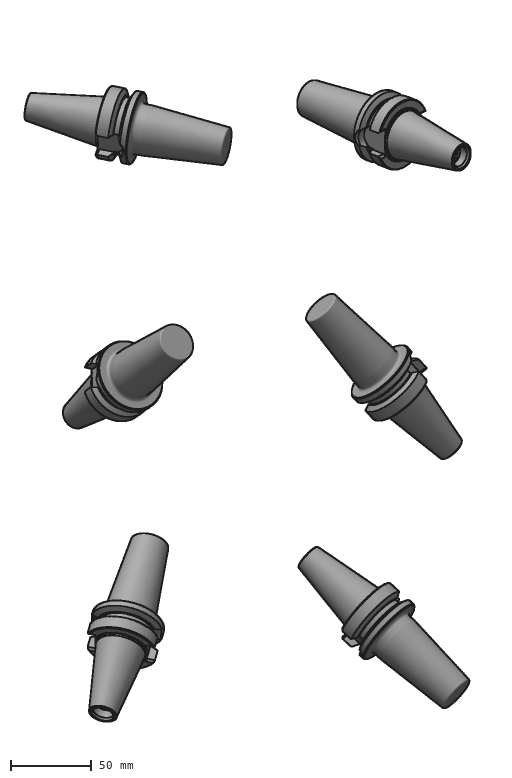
import cadquery as cq
import math


TAPER_LENGTH = 48.4
GAUGE_RADIUS = 31.75 / 2
TAPER_RATE = 7 / 24
TAPER_END_RADIUS = GAUGE_RADIUS - TAPER_LENGTH * TAPER_RATE / 2
TAPER_END_CHAMFER = 0.4

RELIEF_BOTTOM_X = 1.4
RELIEF_INNER_RADIUS = 16.0
RELIEF_FLOOR_RADIUS = 17.0
RELIEF_OUTER_RADIUS = 17.6

FLANGE_RADIUS = 23.0
FLANGE_FRONT_X = 1.0
FLANGE_BACK_X = 22.0
FLANGE_CHAMFER = 0.6
GROOVE_CENTER_X = 13.6
GROOVE_FLOOR_WIDTH = 3.8
GROOVE_FLOOR_RADIUS = 17.9
BEVEL_ROOT_RADIUS = 19.4
BEVEL_ANGLE = 30
BEVEL_RUN = (FLANGE_RADIUS - BEVEL_ROOT_RADIUS) * math.tan(math.radians(BEVEL_ANGLE))
GROOVE_START_X = GROOVE_CENTER_X - GROOVE_FLOOR_WIDTH / 2
GROOVE_END_X = GROOVE_CENTER_X + GROOVE_FLOOR_WIDTH / 2

NOSE_END_X = 80.0
NOSE_RADIUS = 16.0
NOSE_END_RADIUS = 12.0
NOSE_CYLINDER_END_X = 29.0
NOSE_ROOT_FILLET = 2.0
NOSE_END_FILLET = 1.0

SLOT_HALF_WIDTH = 8.05
SLOT_FLOOR_DISTANCE = 16.3
SLOT_END_X = 19.0
SLOT_ARC_X = SLOT_END_X - SLOT_HALF_WIDTH
SLOT_MOUTH_CHAMFER = 1.5
SLOT_CONE_START = math.sqrt(FLANGE_RADIUS**2 - SLOT_HALF_WIDTH**2)
CUT_CLEARANCE = 2.0

COUNTERSINK_RADIUS = 7.15
COUNTERSINK_DEPTH = 1.1
ENTRY_RADIUS = 6.55
LEAD_LENGTH = 0.6
OUTER_PILOT_RADIUS = 6.35
OUTER_PILOT_DEPTH = 4.6
INNER_PILOT_RADIUS = 6.2
INNER_PILOT_DEPTH = 7.0
THREAD_RADIUS = 6.0
CORE_RADIUS = 5.1
CORE_DEPTH = 34.0
DRILL_TIP_HALF_ANGLE = 59
DRILL_TIP_LENGTH = CORE_RADIUS / math.tan(math.radians(DRILL_TIP_HALF_ANGLE))


def revolve_about_x(profile):
    return profile.close().revolve(360, (0, 0, 0), (1, 0, 0))


def holder_body():
    """Taper, grooved flange and nose as one turned solid."""
    fillet_mid = NOSE_ROOT_FILLET * (1 - math.sqrt(0.5))
    profile = (
        cq.Workplane("XY")
        .moveTo(-TAPER_LENGTH, 0)
        .lineTo(-TAPER_LENGTH, TAPER_END_RADIUS - TAPER_END_CHAMFER)
        .lineTo(-TAPER_LENGTH + TAPER_END_CHAMFER, TAPER_END_RADIUS + TAPER_END_CHAMFER * TAPER_RATE / 2)
        .lineTo(0, GAUGE_RADIUS)
        .lineTo(0, RELIEF_INNER_RADIUS)
        .lineTo(RELIEF_BOTTOM_X, RELIEF_INNER_RADIUS)
        .lineTo(RELIEF_BOTTOM_X, RELIEF_FLOOR_RADIUS)
        .lineTo(FLANGE_FRONT_X, RELIEF_OUTER_RADIUS)
        .lineTo(FLANGE_FRONT_X, FLANGE_RADIUS - FLANGE_CHAMFER)
        .lineTo(FLANGE_FRONT_X + FLANGE_CHAMFER, FLANGE_RADIUS)
        .lineTo(GROOVE_START_X - BEVEL_RUN, FLANGE_RADIUS)
        .lineTo(GROOVE_START_X, BEVEL_ROOT_RADIUS)
        .lineTo(GROOVE_START_X, GROOVE_FLOOR_RADIUS)
        .lineTo(GROOVE_END_X, GROOVE_FLOOR_RADIUS)
        .lineTo(GROOVE_END_X, BEVEL_ROOT_RADIUS)
        .lineTo(GROOVE_END_X + BEVEL_RUN, FLANGE_RADIUS)
        .lineTo(FLANGE_BACK_X - FLANGE_CHAMFER, FLANGE_RADIUS)
        .lineTo(FLANGE_BACK_X, FLANGE_RADIUS - FLANGE_CHAMFER)
        .lineTo(FLANGE_BACK_X, NOSE_RADIUS + NOSE_ROOT_FILLET)
        .threePointArc(
            (FLANGE_BACK_X + fillet_mid, NOSE_RADIUS + fillet_mid),
            (FLANGE_BACK_X + NOSE_ROOT_FILLET, NOSE_RADIUS),
        )
        .lineTo(NOSE_CYLINDER_END_X, NOSE_RADIUS)
        .lineTo(NOSE_END_X, NOSE_END_RADIUS)
        .lineTo(NOSE_END_X, 0)
    )
    return revolve_about_x(profile).faces(">X").edges().fillet(NOSE_END_FILLET)


def pull_stud_hole():
    """Countersunk two-step pilot bore, thread core and drill tip."""
    mouth_x = -TAPER_LENGTH
    entry_x = mouth_x + COUNTERSINK_DEPTH
    outer_pilot_end_x = mouth_x + OUTER_PILOT_DEPTH
    pilot_end_x = mouth_x + INNER_PILOT_DEPTH
    core_end_x = mouth_x + CORE_DEPTH
    profile = (
        cq.Workplane("XY")
        .moveTo(mouth_x, 0)
        .lineTo(mouth_x, COUNTERSINK_RADIUS)
        .lineTo(entry_x, ENTRY_RADIUS)
        .lineTo(entry_x + LEAD_LENGTH, OUTER_PILOT_RADIUS)
        .lineTo(outer_pilot_end_x, OUTER_PILOT_RADIUS)
        .lineTo(outer_pilot_end_x + LEAD_LENGTH, INNER_PILOT_RADIUS)
        .lineTo(pilot_end_x, INNER_PILOT_RADIUS)
        .lineTo(pilot_end_x, THREAD_RADIUS)
        .lineTo(pilot_end_x + THREAD_RADIUS - CORE_RADIUS, CORE_RADIUS)
        .lineTo(core_end_x, CORE_RADIUS)
        .lineTo(core_end_x + DRILL_TIP_LENGTH, 0)
    )
    return revolve_about_x(profile)


def drive_slot():
    """Cutter for the slot on the -Y side: flat floor, round end, chamfered mouth and end rim."""
    mouth_half_width = SLOT_HALF_WIDTH + SLOT_MOUTH_CHAMFER
    front_x = 0
    outer_distance = FLANGE_RADIUS + CUT_CLEARANCE
    channel = (
        cq.Workplane("XZ", origin=(0, -SLOT_FLOOR_DISTANCE, 0))
        .moveTo(front_x, -mouth_half_width)
        .lineTo(FLANGE_FRONT_X, -mouth_half_width)
        .lineTo(FLANGE_FRONT_X + SLOT_MOUTH_CHAMFER, -SLOT_HALF_WIDTH)
        .lineTo(SLOT_ARC_X, -SLOT_HALF_WIDTH)
        .threePointArc((SLOT_END_X, 0), (SLOT_ARC_X, SLOT_HALF_WIDTH))
        .lineTo(FLANGE_FRONT_X + SLOT_MOUTH_CHAMFER, SLOT_HALF_WIDTH)
        .lineTo(FLANGE_FRONT_X, mouth_half_width)
        .lineTo(front_x, mouth_half_width)
        .close()
        .extrude(outer_distance - SLOT_FLOOR_DISTANCE)
    )
    cone_height = outer_distance - SLOT_CONE_START
    rim_cone = cq.Workplane(
        cq.Solid.makeCone(
            SLOT_HALF_WIDTH,
            SLOT_HALF_WIDTH + cone_height,
            cone_height,
            pnt=cq.Vector(SLOT_ARC_X, -SLOT_CONE_START, 0),
            dir=cq.Vector(0, -1, 0),
        )
    )
    return channel.union(rim_cone)


result = holder_body().cut(pull_stud_hole())
for side_angle in (0, 180):
    result = result.cut(drive_slot().rotate((0, 0, 0), (1, 0, 0), side_angle))